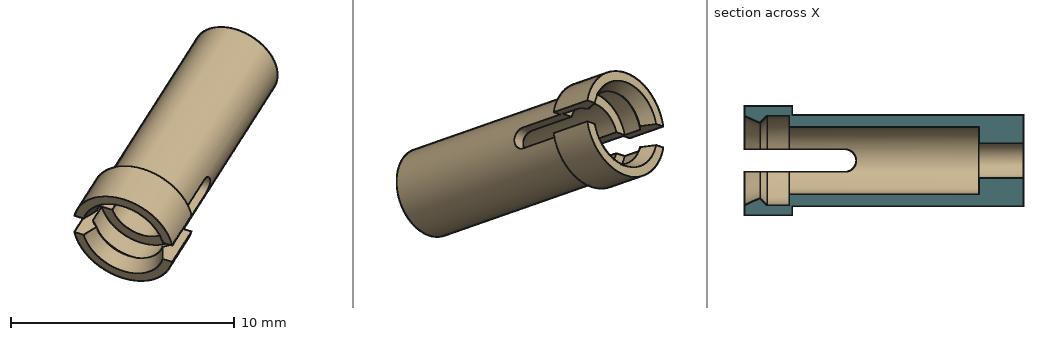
import cadquery as cq

length = 12.5
body_radius = 2.05
collar_radius = 2.45
collar_length = 2.15

socket_radius = 2.0
socket_depth = 2.0
lip_radius = 1.69
lip_position = 0.7
lip_back_position = lip_position + socket_radius - lip_radius

bore_radius = 1.5
end_wall_thickness = 2.0
bore_depth = length - end_wall_thickness
through_hole_radius = 0.78

slot_width = 1.0
slot_depth = 5.0


def revolved_sleeve():
    """Revolve the wall section, given as (radius, Y) points, about the Y axis."""
    return (
        cq.Workplane("XY")
        .moveTo(socket_radius, 0)
        .lineTo(collar_radius, 0)
        .lineTo(collar_radius, collar_length)
        .lineTo(body_radius, collar_length)
        .lineTo(body_radius, length)
        .lineTo(through_hole_radius, length)
        .lineTo(through_hole_radius, bore_depth)
        .lineTo(bore_radius, bore_depth)
        .lineTo(bore_radius, socket_depth)
        .lineTo(socket_radius, socket_depth)
        .lineTo(socket_radius, lip_back_position)
        .lineTo(lip_radius, lip_position)
        .close()
        .revolve(360, (0, 0, 0), (0, 1, 0))
    )


def cross_slot():
    """Slot running through the sleeve along X, open at Y = 0."""
    half_width = slot_width / 2
    arc_start = slot_depth - half_width
    return (
        cq.Workplane("YZ")
        .moveTo(0, -half_width)
        .lineTo(arc_start, -half_width)
        .threePointArc((slot_depth, 0), (arc_start, half_width))
        .lineTo(0, half_width)
        .close()
        .extrude(collar_radius, both=True)
    )


result = revolved_sleeve().cut(cross_slot())